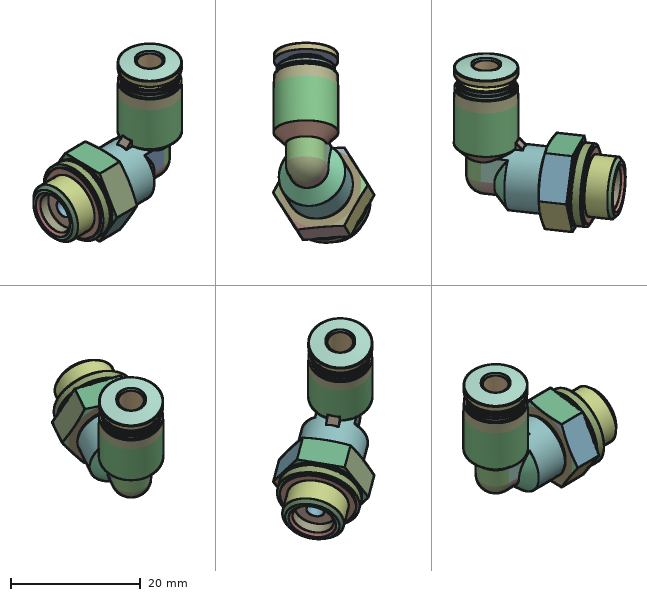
import cadquery as cq
import math


hex_flats = 13.0
overall_length = 26.1
overall_height = 25.2
tube_top = overall_height - hex_flats / 2

body_radius = 10.0 / 2
body_bottom = 5.27
taper_bottom = 12.65
body_top = 14.72
taper_top_radius = 4.9
male_end = overall_length - body_radius

collar_radius = 9.0 / 2
collar_top = 16.15
collar_chamfer = 0.18
groove_bottom = 15.27
groove_width = 0.13
groove_depth = 0.1
neck_radius = 5.5 / 2
neck_flare = 0.15
button_radius = 9.9 / 2
button_bottom = 17.15
button_edge = 18.15
button_edge_chamfer = 0.1
rim_radius = 2.3

elbow_radius = 3.1
barrel_radius = 10.5 / 2
barrel_start = 4.23
barrel_end = 9.9
barrel_chamfer = 0.25

hex_start = 10.02
hex_end = 14.67
hex_chamfer_angle = 15
ring_radius = 13.0 / 2
ring_core_radius = 12 / 2
shoulder_end = 14.93
seal_start = 15.2
seal_end = 16.6
washer_end = 16.89
spigot_radius = 9.74 / 2
spigot_chamfer = 0.6

socket_radius = 4.0 / 2
socket_bottom = 5.27
passage_radius = 2.8 / 2
counterbore_radius = 6.47 / 2
counterbore_depth = 2.22
counterbore_chamfer = 0.5

gusset_width = 1.98
gusset_leg = 1.02


def revolve_z(profile):
    """Revolve a closed (radius, height) profile about Z."""
    return cq.Workplane("XZ").polyline(profile).close().revolve(360, (0, 0), (0, 1))


def revolve_y(profile):
    """Revolve a closed (radius, distance toward -Y) profile about Y."""
    points = [(radius, -distance) for radius, distance in profile]
    return cq.Workplane("XY").polyline(points).close().revolve(360, (0, 0), (0, 1))


def tube_side():
    cone_bottom = body_bottom - (body_radius - elbow_radius)
    return revolve_z([
        (0, 0),
        (elbow_radius, 0),
        (elbow_radius, cone_bottom),
        (body_radius, body_bottom),
        (body_radius, taper_bottom),
        (taper_top_radius, body_top),
        (collar_radius, body_top),
        (collar_radius, groove_bottom),
        (collar_radius - groove_depth, groove_bottom),
        (collar_radius - groove_depth, groove_bottom + groove_width),
        (collar_radius, groove_bottom + groove_width),
        (collar_radius, collar_top - collar_chamfer),
        (collar_radius - collar_chamfer, collar_top),
        (neck_radius, collar_top),
        (neck_radius, button_bottom - neck_flare),
        (neck_radius + neck_flare, button_bottom),
        (button_radius, button_bottom),
        (button_radius, button_edge),
        (button_radius - button_edge_chamfer, button_edge + button_edge_chamfer),
        (rim_radius, tube_top),
        (0, tube_top),
    ])


def threaded_side():
    cone_start = barrel_start - (barrel_radius - elbow_radius)
    return revolve_y([
        (0, 0),
        (elbow_radius, 0),
        (elbow_radius, cone_start),
        (barrel_radius, barrel_start),
        (barrel_radius, barrel_end - barrel_chamfer),
        (barrel_radius - barrel_chamfer, barrel_end),
        (barrel_radius - barrel_chamfer, hex_end),
        (ring_radius, hex_end),
        (ring_radius, shoulder_end),
        (ring_core_radius, shoulder_end),
        (ring_core_radius, seal_start),
        (ring_radius, seal_start),
        (ring_radius, seal_end),
        (ring_core_radius, seal_end),
        (ring_core_radius, washer_end),
        (spigot_radius, washer_end),
        (spigot_radius, male_end - spigot_chamfer),
        (spigot_radius - spigot_chamfer, male_end),
        (0, male_end),
    ])


def hexagon():
    """Hexagon with flats facing +Z and -Z, its corners chamfered on the barrel side."""
    corner_radius = hex_flats / math.sqrt(3)
    chamfer_length = (corner_radius - hex_flats / 2) * math.tan(math.radians(hex_chamfer_angle))
    prism = (
        cq.Workplane("XZ", origin=(0, -hex_start, 0))
        .polygon(6, 2 * corner_radius)
        .extrude(hex_end - hex_start)
    )
    chamfer_envelope = revolve_y([
        (0, hex_start),
        (hex_flats / 2, hex_start),
        (corner_radius, hex_start + chamfer_length),
        (corner_radius, hex_end),
        (0, hex_end),
    ])
    return prism.intersect(chamfer_envelope)


def elbow():
    """Spherical outer corner and an inner web with flat sides and a top flush with the barrel."""
    web_block = cq.Workplane("XY").box(
        2 * elbow_radius, barrel_start, barrel_radius, centered=(True, False, False)
    ).translate((0, -barrel_start, 0))
    web = web_block.intersect(cq.Workplane("XZ").circle(barrel_radius).extrude(barrel_start))
    return cq.Workplane("XY").sphere(elbow_radius).union(web)


def gusset():
    """Rib sloping at 45 degrees, sunk into the tube body and the barrel."""
    overlap = 0.52
    face_y = -body_radius
    base_z = barrel_radius
    return (
        cq.Workplane("YZ")
        .polyline([
            (face_y + overlap, base_z - overlap),
            (face_y - gusset_leg - overlap, base_z - overlap),
            (face_y, base_z + gusset_leg),
            (face_y + overlap, base_z + gusset_leg),
        ])
        .close()
        .extrude(gusset_width / 2, both=True)
    )


def bores():
    """Tube socket and threaded-end counterbore joined by a passage with a round corner."""
    rim_chamfer = rim_radius - socket_radius
    counterbore_floor = male_end - counterbore_depth
    tube_bore = revolve_z([
        (0, 0),
        (passage_radius, 0),
        (passage_radius, socket_bottom),
        (socket_radius, socket_bottom),
        (socket_radius, tube_top - rim_chamfer),
        (rim_radius, tube_top),
        (0, tube_top),
    ])
    threaded_bore = revolve_y([
        (0, 0),
        (passage_radius, 0),
        (passage_radius, counterbore_floor),
        (counterbore_radius, counterbore_floor),
        (counterbore_radius, male_end - counterbore_chamfer),
        (counterbore_radius + counterbore_chamfer, male_end),
        (0, male_end),
    ])
    corner = cq.Workplane("XY").sphere(passage_radius)
    return tube_bore.union(threaded_bore).union(corner)


outside = tube_side().union(threaded_side()).union(hexagon()).union(elbow()).union(gusset())
result = outside.cut(bores())